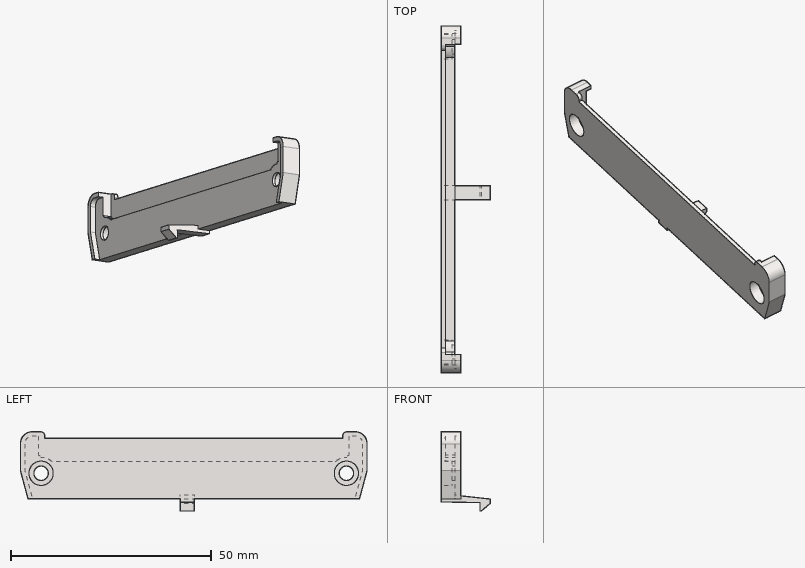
import cadquery as cq
import math

length = 86.4
half_length = length / 2
plate_height = 16.8
skin_thickness = 1.0
body_back = 3.45
lug_depth = 4.9

corner_radius = 3.0
taper_start = 9.7
taper_inset = 1.9
skin_drop = 1.6
nose_reach = 6.1
nose_radius = 1.1

lug_width = 4.6
rim_thickness = 1.1

hole_inset = 5.2
hole_drop = 10.4
hole_diameter = 3.5
counterbore_diameter = 6.05
counterbore_depth = 2.7
boss_radius = 4.0
boss_reach = 2.7
bevel_rise = 0.6

hook_center_y = 1.6
hook_width = 3.5
hook_tip_x = 12.3
hook_catch_x = 9.7
hook_catch_flat = 0.35
hook_drop = 3.0
hook_root_rise = 0.95
hook_tip_height = 1.1
hook_underside_front = 0.8
hook_underside_back = 0.95

arc_mid = math.sqrt(0.5)
hole_y = half_length - hole_inset


def end_region():
    """Face profile of the +Y half, out to the rounded and tapered end."""
    corner_y = half_length - corner_radius
    nose_tip_y = half_length - nose_reach
    nose_y = nose_tip_y + nose_radius
    return (
        cq.Workplane("YZ")
        .moveTo(0, -plate_height)
        .lineTo(half_length - taper_inset, -plate_height)
        .lineTo(half_length, -taper_start)
        .lineTo(half_length, -corner_radius)
        .threePointArc(
            (corner_y + corner_radius * arc_mid, -corner_radius * (1 - arc_mid)),
            (corner_y, 0),
        )
        .lineTo(nose_y, 0)
        .threePointArc(
            (nose_y - nose_radius * arc_mid, -nose_radius * (1 - arc_mid)),
            (nose_tip_y, -nose_radius),
        )
        .lineTo(nose_tip_y, -skin_drop)
        .lineTo(0, -skin_drop)
        .close()
    )


def space_above_body():
    """Open space behind the skin, above the body, its rounded boss and the bevel at the lug."""
    boss_end_y = hole_y - boss_reach
    floor_z = -hole_drop + math.sqrt(boss_radius**2 - boss_reach**2)
    boss_mid_y = hole_y - boss_reach / 2
    boss_mid_z = -hole_drop + math.sqrt(boss_radius**2 - (boss_reach / 2) ** 2)
    return (
        cq.Workplane("YZ", origin=(skin_thickness, 0, 0))
        .moveTo(0, 0)
        .lineTo(0, floor_z)
        .lineTo(boss_end_y, floor_z)
        .threePointArc((boss_mid_y, boss_mid_z), (hole_y, -hole_drop + boss_radius))
        .lineTo(half_length - lug_width, -hole_drop + boss_radius + bevel_rise)
        .lineTo(half_length - lug_width, 0)
        .close()
        .extrude(lug_depth - skin_thickness)
    )


def space_inside_rim():
    """Open space behind the body, bounded by the rim along the end."""
    inner_y = half_length - rim_thickness
    inner_radius = corner_radius - rim_thickness
    taper_angle = math.atan2(taper_inset, plate_height - taper_start)
    inner_taper_start = taper_start - rim_thickness * math.tan(taper_angle / 2)
    inner_bottom_y = half_length - taper_inset - rim_thickness / math.cos(taper_angle)
    corner_y = half_length - corner_radius
    return (
        cq.Workplane("YZ", origin=(body_back, 0, 0))
        .moveTo(0, -plate_height)
        .lineTo(inner_bottom_y, -plate_height)
        .lineTo(inner_y, -inner_taper_start)
        .lineTo(inner_y, -corner_radius)
        .threePointArc(
            (corner_y + inner_radius * arc_mid, -corner_radius + inner_radius * arc_mid),
            (corner_y, -rim_thickness),
        )
        .lineTo(0, -rim_thickness)
        .close()
        .extrude(lug_depth - body_back)
    )


def screw_hole():
    """Counterbored screw hole, entered from the front face."""
    center = cq.Workplane("YZ").center(hole_y, -hole_drop)
    through = center.circle(hole_diameter / 2).extrude(lug_depth)
    counterbore = center.circle(counterbore_diameter / 2).extrude(counterbore_depth)
    return through.union(counterbore)


def snap_hook():
    """Arm under the plate with a downward catch at its free end."""
    bottom = -plate_height
    profile = [
        (0, bottom),
        (body_back, bottom + hook_root_rise),
        (hook_tip_x, bottom),
        (hook_tip_x, bottom - hook_tip_height),
        (hook_catch_x + hook_catch_flat, bottom - hook_drop),
        (hook_catch_x, bottom - hook_drop),
        (hook_catch_x, bottom - hook_underside_back),
        (0, bottom - hook_underside_front),
    ]
    return (
        cq.Workplane("XZ", origin=(0, hook_center_y, 0))
        .polyline(profile)
        .close()
        .extrude(hook_width / 2, both=True)
    )


half_plate = (
    end_region()
    .extrude(lug_depth)
    .cut(space_above_body())
    .cut(space_inside_rim())
    .cut(screw_hole())
)
result = half_plate.union(half_plate.mirror("XZ")).union(snap_hook()).clean()